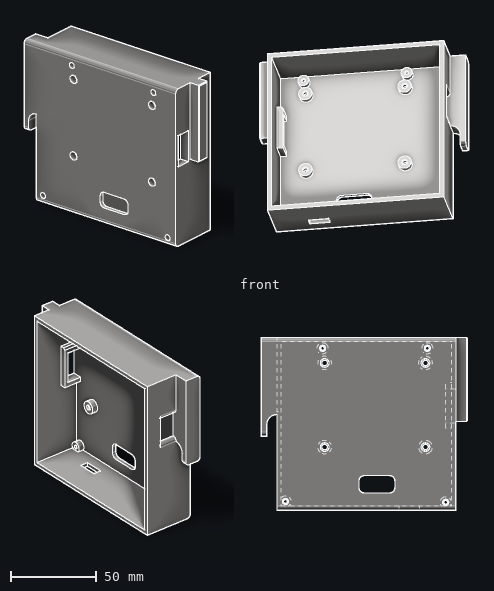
import cadquery as cq

LENGTH = 119.9
DEPTH = 32.3
HEIGHT = 100.6

WALL = 2.5
FLANGE_WIDTH = 9.1
TAB_LENGTH = 6.6
BODY_LEFT = FLANGE_WIDTH
BODY_RIGHT = LENGTH - TAB_LENGTH
EDGE_RADIUS = 2.5

FLANGE_DEPTH = 10.8
FLANGE_BOTTOM = 43.0
HOOK_WIDTH = 3.4
HOOK_RADIUS = FLANGE_WIDTH - HOOK_WIDTH
HOOK_NOTCH_TOP = 55.6

TAB_FRONT = 13.4
TAB_BACK = 21.3
TAB_BOTTOM = 51.7
TAB_CHAMFER = 0.5

WINDOW_BACK = 22.5
WINDOW_BOTTOM = 55.7
WINDOW_TOP = 76.8

SLOT_LEFT = 57.0
SLOT_BOTTOM = 10.2
SLOT_LENGTH = 20.7
SLOT_HEIGHT = 10.0
SLOT_RADIUS = 3.0

FLOOR_SLOT_LEFT = 80.2
FLOOR_SLOT_LENGTH = 12.0
FLOOR_SLOT_FRONT = 9.6
FLOOR_SLOT_BACK = 14.5

PAD_THICKNESS = 3.6
PAD_BACK = 14.3
PAD_BOTTOM = 48.0
PAD_TOP = 73.3
PAD_SLOPE = 1.2
PORT_BACK = 11.9
PORT_MARGIN = 2.8

BOSS_LENGTH = 3.6
BOSS_WALL = 1.4
RECESS_DEPTH = 4.8
BOARD_RECESS_RADIUS = 2.5
BOARD_HOLE_RADIUS = 1.5
BOARD_LEFT = 36.9
BOARD_RIGHT = 95.5
BOARD_LOW = 36.8
BOARD_HIGH = 85.7
CASE_RECESS_RADIUS = 1.8
CASE_HOLE_RADIUS = 1.1
BOARD_POINTS = [(x, z) for x in (BOARD_LEFT, BOARD_RIGHT) for z in (BOARD_LOW, BOARD_HIGH)]
CASE_TOP = 94.2
CASE_POINTS = [(35.7, CASE_TOP), (96.6, CASE_TOP), (14.1, 5.2), (107.3, 4.7)]


def block(x0, x1, y0, y1, z0, z1):
    """Box between two opposite corners."""
    return cq.Workplane("XY").box(x1 - x0, y1 - y0, z1 - z0, centered=False).translate((x0, y0, z0))


def rods(points, radius, start, length):
    """Cylinders along +Y at the given (x, z) points."""
    plane = cq.Workplane("XZ", origin=(0, start, 0))
    return plane.pushPoints(points).circle(radius).extrude(-length)


def body():
    """Open tray with rounded front edges at the top and bottom."""
    outer = block(BODY_LEFT, BODY_RIGHT, 0, DEPTH, 0, HEIGHT)
    outer = outer.edges("|X and <Y").fillet(EDGE_RADIUS)
    cavity = block(BODY_LEFT + WALL, BODY_RIGHT - WALL, WALL, DEPTH, WALL, HEIGHT - WALL)
    return outer.cut(cavity)


def flange():
    """Side plate whose lower end hangs down as a hook."""
    plate = block(0, FLANGE_WIDTH, 0, FLANGE_DEPTH, FLANGE_BOTTOM, HEIGHT)
    plate = plate.edges("|X and <Z").fillet(EDGE_RADIUS)
    plate = plate.edges("|X and >Z and <Y").fillet(EDGE_RADIUS)
    arc_start = HOOK_NOTCH_TOP - HOOK_RADIUS
    notch = (
        cq.Workplane("XZ")
        .moveTo(HOOK_WIDTH, 0)
        .lineTo(HOOK_WIDTH, arc_start)
        .radiusArc((FLANGE_WIDTH, HOOK_NOTCH_TOP), HOOK_RADIUS)
        .lineTo(FLANGE_WIDTH, 0)
        .close()
        .extrude(-FLANGE_DEPTH)
    )
    return plate.cut(notch)


def tab():
    """Tongue chamfered around its outer end."""
    tongue = block(BODY_RIGHT, LENGTH, TAB_FRONT, TAB_BACK, TAB_BOTTOM, HEIGHT)
    return tongue.faces(">X").edges().chamfer(TAB_CHAMFER)


def window():
    """Cutter for the left wall, flared by upper and lower lips rounded over the wall thickness."""
    outer = BODY_LEFT
    inner = BODY_LEFT + WALL
    lower_throat = WINDOW_BOTTOM + WALL
    upper_throat = WINDOW_TOP - WALL
    return (
        cq.Workplane("XZ", origin=(0, FLANGE_DEPTH, 0))
        .moveTo(outer, WINDOW_BOTTOM)
        .radiusArc((inner, lower_throat), WALL)
        .lineTo(inner, upper_throat)
        .radiusArc((outer, WINDOW_TOP), WALL)
        .close()
        .extrude(FLANGE_DEPTH - WINDOW_BACK)
    )


def front_slot():
    """Rounded cutter for the opening in the front plate."""
    slot = block(SLOT_LEFT, SLOT_LEFT + SLOT_LENGTH, 0, WALL, SLOT_BOTTOM, SLOT_BOTTOM + SLOT_HEIGHT)
    return slot.edges("|Y").fillet(SLOT_RADIUS)


def floor_slot():
    """Cutter for the opening in the bottom wall."""
    right = FLOOR_SLOT_LEFT + FLOOR_SLOT_LENGTH
    return block(FLOOR_SLOT_LEFT, right, FLOOR_SLOT_FRONT, FLOOR_SLOT_BACK, 0, WALL)


def pad():
    """Thickening of the right wall with a sloped top."""
    wall_face = BODY_RIGHT - WALL
    solid = block(wall_face - PAD_THICKNESS, wall_face, WALL, PAD_BACK, PAD_BOTTOM, PAD_TOP + PAD_SLOPE)
    return solid.edges("|Y and >Z and <X").chamfer(PAD_SLOPE)


def port():
    """Cutter through the pad and the right wall."""
    inner = BODY_RIGHT - WALL - PAD_THICKNESS
    return block(inner, BODY_RIGHT, WALL, PORT_BACK, PAD_BOTTOM + PORT_MARGIN, PAD_TOP - PORT_MARGIN)


result = body().union(flange()).union(tab()).union(pad())
for cutter in (window(), front_slot(), floor_slot(), port()):
    result = result.cut(cutter)

screw_groups = [
    (BOARD_POINTS, BOARD_RECESS_RADIUS, BOARD_HOLE_RADIUS),
    (CASE_POINTS, CASE_RECESS_RADIUS, CASE_HOLE_RADIUS),
]
for points, recess_radius, hole_radius in screw_groups:
    result = result.union(rods(points, recess_radius + BOSS_WALL, WALL, BOSS_LENGTH))
    result = result.cut(rods(points, recess_radius, 0, RECESS_DEPTH))
    result = result.cut(rods(points, hole_radius, 0, WALL + BOSS_LENGTH))